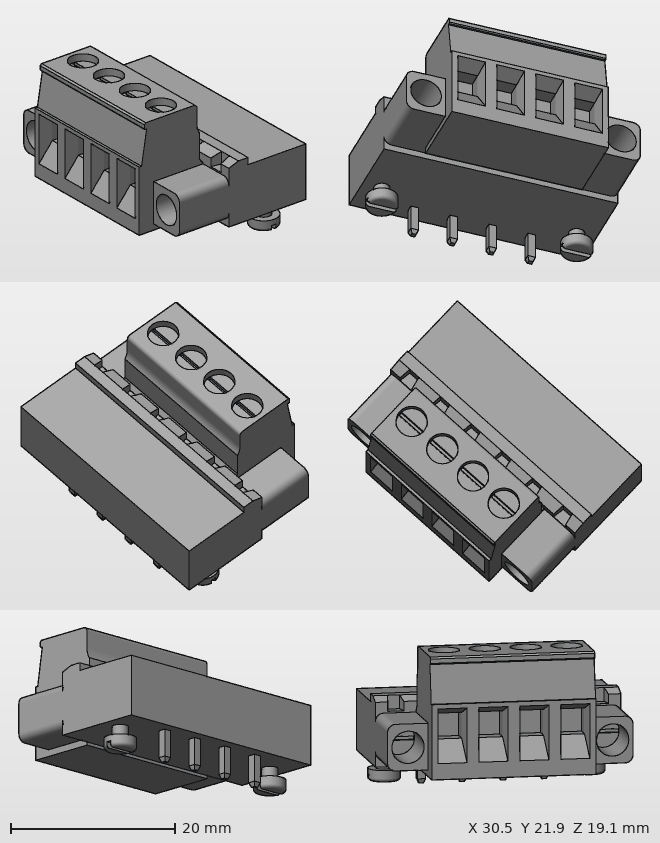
import cadquery as cq

width = 30.48
pole_count = 4
position_count = pole_count + 2
pole_pitch = width / position_count

header_depth = 11.98
header_height = 7.6
ridge_height = 8.55
ridge_depth = 3.0
ridge_bevel_length = ridge_depth / 2
ridge_front_height = 8.02

notch_floor = 6.85
notch_front_width = 1.98
notch_back_width = 1.5

pin_side = 1.0
pin_length = 4.0
pin_tip_side = 0.55
pin_tip_length = 0.58
pin_y = 10.0

flange_screw_x = (position_count - 1) * pole_pitch / 2
mount_y = 7.45
shank_diameter = 2.0
shank_length = 1.5
head_diameter = 4.0
head_height = 1.5
head_edge_radius = 0.43
head_slot_width = 0.65
head_slot_depth = 0.73

plug_width = 20.4
plug_depth = 9.95
plug_height = 15.05
plug_back_gap = 0.95
waist_gap = 0.55
top_edge_radius = 0.55
ledge_height = 9.33
ledge_depth = 0.37
lip_y = -9.15
lip_bevel_y = -8.9
lip_bevel_bottom = 14.85
lip_underside_y = -9.02
lip_underside_bevel_top = 14.3
undercut_y = -8.78
undercut_height = 14.15
back_step_top = 12.28
back_step_bottom = 11.03
foot_slope_top = 7.47
foot_slope_bottom = 6.8

flange_depth = 7.68
flange_bottom = 0.85
flange_top = 6.65
flange_corner_radius = 1.0
flange_hole_diameter = 4.0
flange_hole_depth = 6.1

clamp_y = -4.5
clamp_hole_diameter = 3.8
clamp_hole_depth = 1.0
driver_slot_width = 0.45
driver_slot_depth = 0.45

mouth_width = 3.6
mouth_bottom = 2.0
mouth_top = 8.78
mouth_depth = 1.85
channel_width = 3.0
channel_bottom = 4.72
channel_top = 7.92
channel_depth = 1.83

overlap = 0.3


def row_positions(count):
    """X positions of a centred row at the pole pitch."""
    return [(i - (count - 1) / 2) * pole_pitch for i in range(count)]


def extrude_profile(points, length):
    """Extrude a (Y, Z) outline along X, centred on X = 0."""
    return cq.Workplane("YZ").polyline(points).close().extrude(length / 2, both=True)


def box(x_size, y_size, z_size, x, y, z):
    """Box centred on x and y, standing on z."""
    return cq.Workplane("XY").box(x_size, y_size, z_size, centered=(True, True, False)).translate((x, y, z))


def make_header():
    header = extrude_profile(
        [
            (0, 0),
            (header_depth, 0),
            (header_depth, header_height),
            (ridge_depth, header_height),
            (ridge_depth, ridge_height),
            (ridge_bevel_length, ridge_height),
            (0, ridge_front_height),
        ],
        width,
    )
    for x in row_positions(position_count):
        notch = (
            cq.Workplane("XY")
            .workplane(offset=notch_floor)
            .polyline(
                [
                    (x - notch_front_width / 2, 0),
                    (x + notch_front_width / 2, 0),
                    (x + notch_back_width / 2, ridge_bevel_length),
                    (x - notch_back_width / 2, ridge_bevel_length),
                ]
            )
            .close()
            .extrude(ridge_height - notch_floor)
        )
        header = header.cut(notch)
    return header


def make_pin(x):
    shaft_length = pin_length - pin_tip_length
    pin = box(pin_side, pin_side, shaft_length + overlap, x, pin_y, -shaft_length)
    tip = (
        cq.Workplane("XY", origin=(x, pin_y, -shaft_length))
        .rect(pin_side, pin_side)
        .workplane(offset=-pin_tip_length)
        .rect(pin_tip_side, pin_tip_side)
        .loft(ruled=True)
    )
    return pin.union(tip)


def make_mounting_screw(x):
    head_bottom = -shank_length - head_height
    head = (
        cq.Workplane("XY", origin=(x, mount_y, head_bottom))
        .circle(head_diameter / 2)
        .extrude(head_height)
        .faces("<Z")
        .edges()
        .fillet(head_edge_radius)
    )
    shank = (
        cq.Workplane("XY", origin=(x, mount_y, -shank_length))
        .circle(shank_diameter / 2)
        .extrude(shank_length + overlap)
    )
    slot = box(head_diameter, head_slot_width, head_slot_depth, x, mount_y, head_bottom)
    return head.cut(slot).union(shank)


def make_plug_body():
    outline = (
        cq.Workplane("YZ")
        .moveTo(-plug_back_gap, 0)
        .lineTo(-plug_depth, 0)
        .lineTo(-plug_depth, ledge_height)
        .lineTo(-plug_depth + ledge_depth, ledge_height)
        .lineTo(undercut_y, undercut_height)
        .lineTo(lip_underside_y, undercut_height)
        .lineTo(lip_y, lip_underside_bevel_top)
        .lineTo(lip_y, lip_bevel_bottom)
        .lineTo(lip_bevel_y, plug_height)
        .lineTo(-plug_back_gap - top_edge_radius, plug_height)
        .radiusArc((-plug_back_gap, plug_height - top_edge_radius), top_edge_radius)
        .lineTo(-plug_back_gap, back_step_top)
        .tangentArcPoint((-waist_gap, back_step_bottom), relative=False)
        .lineTo(-waist_gap, foot_slope_top)
        .lineTo(0, foot_slope_bottom)
        .lineTo(0, flange_bottom)
        .lineTo(-plug_back_gap, flange_bottom)
        .close()
    )
    return outline.extrude(plug_width / 2, both=True)


def make_flanges():
    flange_height = flange_top - flange_bottom
    return (
        box(width, flange_depth, flange_height, 0, -flange_depth / 2, flange_bottom)
        .edges("|Y")
        .fillet(flange_corner_radius)
    )


def flange_hole(x):
    """Blind screw hole with a driver slot in its floor."""
    hole_z = (flange_bottom + flange_top) / 2
    hole = (
        cq.Workplane("XZ", origin=(x, -flange_depth, hole_z))
        .circle(flange_hole_diameter / 2)
        .extrude(-flange_hole_depth)
    )
    slot_y = -flange_depth + flange_hole_depth + driver_slot_depth / 2
    slot_bottom = hole_z - driver_slot_width / 2
    return hole.union(box(flange_hole_diameter, driver_slot_depth, driver_slot_width, x, slot_y, slot_bottom))


def clamp_hole(x):
    """Shallow screw hole with a driver slot in its floor."""
    floor = plug_height - clamp_hole_depth
    hole = (
        cq.Workplane("XY", origin=(x, clamp_y, floor))
        .circle(clamp_hole_diameter / 2)
        .extrude(clamp_hole_depth)
    )
    slot_bottom = floor - driver_slot_depth
    slot = box(clamp_hole_diameter, driver_slot_width, driver_slot_depth, x, clamp_y, slot_bottom)
    return hole.union(slot)


def wire_entry(x):
    channel_center = (channel_bottom + channel_top) / 2
    mouth_center = (mouth_bottom + mouth_top) / 2
    mouth = (
        cq.Workplane("XZ", origin=(x, -plug_depth, 0))
        .center(0, mouth_center)
        .rect(mouth_width, mouth_top - mouth_bottom)
        .workplane(offset=-mouth_depth)
        .center(0, channel_center - mouth_center)
        .rect(channel_width, channel_top - channel_bottom)
        .loft(ruled=True)
    )
    channel_y = -plug_depth + mouth_depth + channel_depth / 2
    channel_height = channel_top - channel_bottom
    return mouth.union(box(channel_width, channel_depth, channel_height, x, channel_y, channel_bottom))


plug = make_plug_body().union(make_flanges())
for pole_x in row_positions(pole_count):
    plug = plug.cut(clamp_hole(pole_x)).cut(wire_entry(pole_x))

result = make_header().union(plug)
for pole_x in row_positions(pole_count):
    result = result.union(make_pin(pole_x))
for screw_x in (-flange_screw_x, flange_screw_x):
    result = result.cut(flange_hole(screw_x)).union(make_mounting_screw(screw_x))